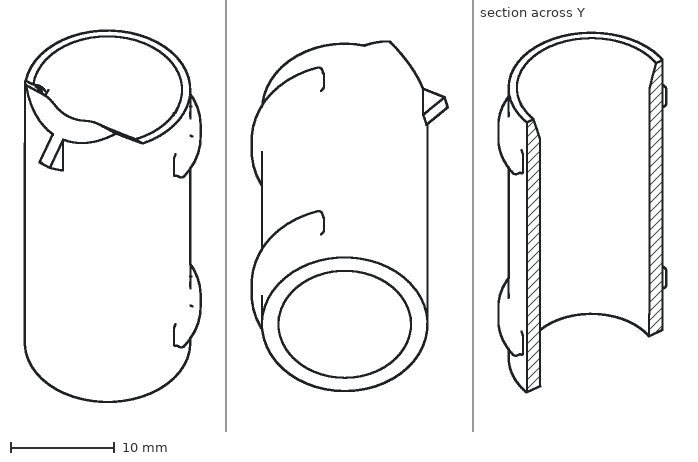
import cadquery as cq
import math

OUTER_RADIUS = 16.0 / 2
BORE_RADIUS = 12.8 / 2
RIM_HEIGHT = 35.0

MOUTH_RADIUS = (OUTER_RADIUS + BORE_RADIUS) / 2
MOUTH_DEPTH = 3.0

LIP_THICKNESS = 3.0
LIP_RISE = LIP_THICKNESS / math.sqrt(2)
LIP_PEAK_Y = -OUTER_RADIUS + LIP_RISE
LIP_PEAK_Z = RIM_HEIGHT + LIP_RISE
LIP_INNER_FILLET = 1.0

KEY_WIDTH = 1.25
KEY_TIP_Y = -OUTER_RADIUS - LIP_RISE
KEY_TIP_Z = RIM_HEIGHT - LIP_RISE

BAND_RADIUS = 9.0
BAND_WIDTH = 2.5
BAND_FILLET = 0.4
BAND_SWEEP = 180
BAND_END_OFFSET = 5.75
BAND_HEIGHTS = (BAND_END_OFFSET, RIM_HEIGHT - BAND_END_OFFSET)

EMBED = 0.8


def make_tube():
    """Plain tube whose bore widens into a tapered mouth at the rim."""
    tube = cq.Workplane("XY").circle(OUTER_RADIUS).circle(BORE_RADIUS).extrude(RIM_HEIGHT)
    mouth = cq.Workplane("XY").add(
        cq.Solid.makeCone(
            BORE_RADIUS, MOUTH_RADIUS, MOUTH_DEPTH, cq.Vector(0, 0, RIM_HEIGHT - MOUTH_DEPTH)
        )
    )
    return tube.cut(mouth)


def prism_along_x(points, width):
    """Prism of the given width, centred on the YZ plane, from (y, z) corners."""
    side_plane = cq.Workplane("YZ", origin=(-width / 2, 0, 0))
    return side_plane.polyline(points).close().extrude(width)


def make_lip():
    """Full-thickness wall on the -Y half, under two 45 degree planes that meet at the peak."""
    reach = 2 * OUTER_RADIUS
    back_slope_foot_z = LIP_PEAK_Z + LIP_PEAK_Y
    wall_top_z = back_slope_foot_z + reach
    wall = cq.Workplane("XY").circle(OUTER_RADIUS).circle(BORE_RADIUS).extrude(wall_top_z)
    under_back_slope = prism_along_x(
        [(0, 0), (0, back_slope_foot_z), (-reach, wall_top_z), (-reach, 0)],
        2 * reach,
    )
    lip = wall.intersect(under_back_slope)

    back_slope = lip.faces(cq.selectors.ParallelDirSelector(cq.Vector(0, 1, 1)))
    curved_edges = back_slope.edges("%ELLIPSE").vals()
    bore_edge = min(curved_edges, key=lambda edge: edge.Length())
    lip = lip.newObject([bore_edge]).fillet(LIP_INNER_FILLET)

    over_front_slope = prism_along_x(
        [
            (LIP_PEAK_Y + reach, LIP_PEAK_Z + reach),
            (LIP_PEAK_Y - reach, LIP_PEAK_Z + reach),
            (LIP_PEAK_Y - reach, LIP_PEAK_Z - reach),
        ],
        2 * reach,
    )
    return lip.cut(over_front_slope)


def make_key():
    """Key with a right-angled tip, its upper flank in line with the front of the lip."""
    root_y = -OUTER_RADIUS + EMBED
    root_run = root_y - KEY_TIP_Y
    return prism_along_x(
        [
            (KEY_TIP_Y, KEY_TIP_Z),
            (root_y, KEY_TIP_Z + root_run),
            (root_y, KEY_TIP_Z - root_run),
        ],
        KEY_WIDTH,
    )


def make_band(height):
    """Half-round band with rounded edges, flaring into the tube."""
    half = BAND_WIDTH / 2
    foot_half = half + BAND_FILLET
    foot_radius = OUTER_RADIUS + BAND_FILLET
    buried_radius = OUTER_RADIUS - EMBED
    arc_shift = BAND_FILLET * (1 - math.sqrt(0.5))
    section = (
        cq.Workplane("XZ")
        .moveTo(buried_radius, -foot_half)
        .lineTo(OUTER_RADIUS, -foot_half)
        .threePointArc((OUTER_RADIUS + arc_shift, -half - arc_shift), (foot_radius, -half))
        .lineTo(BAND_RADIUS, -half)
        .lineTo(BAND_RADIUS, half)
        .lineTo(foot_radius, half)
        .threePointArc((OUTER_RADIUS + arc_shift, half + arc_shift), (OUTER_RADIUS, foot_half))
        .lineTo(buried_radius, foot_half)
        .close()
    )
    band = section.revolve(BAND_SWEEP, (0, 0, 0), (0, 1, 0))
    outer_rims = band.edges(cq.selectors.RadiusNthSelector(-1)).vals()
    end_edges = band.faces("<Y").edges().vals()
    exposed_ends = [edge for edge in end_edges if abs(edge.Center().x) > OUTER_RADIUS]
    band = band.newObject(outer_rims + exposed_ends).fillet(BAND_FILLET)
    return band.translate((0, 0, height))


result = make_tube().union(make_lip()).union(make_key())
for band_height in BAND_HEIGHTS:
    result = result.union(make_band(band_height))